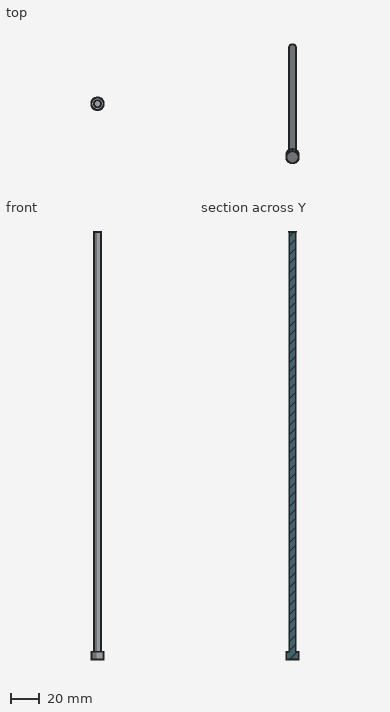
import cadquery as cq

overall_length = 300.0
shaft_diameter = 5.0
head_diameter = 9.0
head_thickness = 5.7
head_edge_chamfer = 0.2
root_fillet_radius = 0.3


def make_pin_blank():
    """Round shaft standing on a wider cylindrical head, both on the Z axis."""
    head = cq.Workplane("XY").circle(head_diameter / 2).extrude(head_thickness)
    shaft = cq.Workplane("XY").circle(shaft_diameter / 2).extrude(overall_length)
    return head.union(shaft)


def break_head_edge(pin):
    """Chamfer the outer bottom edge of the head."""
    return pin.faces("<Z").edges().chamfer(head_edge_chamfer)


def fillet_shaft_root(pin):
    """Round the inner corner where the shaft meets the head."""
    shoulder = pin.faces(cq.selectors.NearestToPointSelector((0, 0, head_thickness)))
    root_edge = shoulder.edges(cq.selectors.RadiusNthSelector(0))
    return root_edge.fillet(root_fillet_radius)


result = fillet_shaft_root(break_head_edge(make_pin_blank()))